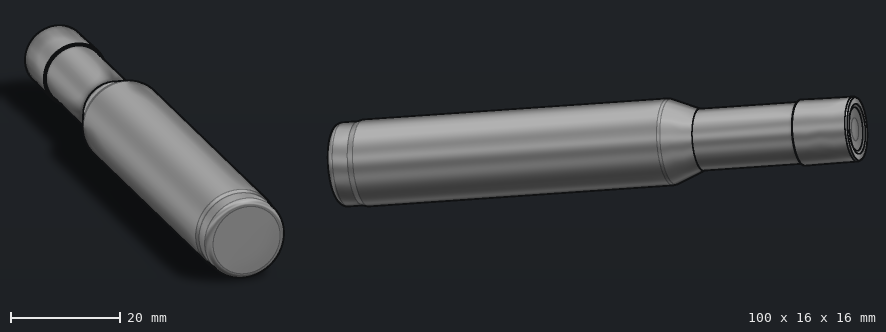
import cadquery as cq

length = 100.0
tip_x = -length / 2
head_length = 10.7
cone_start = 30.0
cone_end = 35.8
relief_start = 94.8
relief_end = 95.9

shank_diameter = 16.0
tail_diameter = 15.5
neck_diameter = 11.4
head_back_diameter = 12.2
head_front_diameter = 12.0
face_diameter = 11.6

tip_bevel_length = 0.4
back_bevel = 0.2
shoulder_fillet = 1.6
tail_fillet = 1.2

dish_mouth_diameter = 9.2
dish_rim_diameter = 8.0
dish_floor_diameter = 4.2
dish_rim_depth = 0.3
dish_depth = 0.5


def turned(stations):
    """Revolve (distance from tip, diameter) stations, from axis to axis, about X."""
    points = [(tip_x + distance, diameter / 2) for distance, diameter in stations]
    return cq.Workplane("XY").polyline(points).close().revolve(360, (0, 0, 0), (1, 0, 0))


def make_head():
    """Slightly tapered cutting head with bevelled ends and a dished face."""
    return turned([
        (dish_depth, 0),
        (dish_depth, dish_floor_diameter),
        (dish_rim_depth, dish_rim_diameter),
        (0, dish_mouth_diameter),
        (0, face_diameter),
        (tip_bevel_length, head_front_diameter),
        (head_length - back_bevel, head_back_diameter),
        (head_length, head_back_diameter - 2 * back_bevel),
        (head_length, 0),
    ])


def make_shank():
    """Neck, cone and full-diameter shank, ending in a reduced rounded tail."""
    shank = turned([
        (head_length, 0),
        (head_length, neck_diameter),
        (cone_start, neck_diameter),
        (cone_end, shank_diameter),
        (relief_start, shank_diameter),
        (relief_end, tail_diameter),
        (length, tail_diameter),
        (length, 0),
    ])
    shank = shank.faces(">X").edges().fillet(tail_fillet)
    shoulder = cq.selectors.NearestToPointSelector((tip_x + cone_end, 0, 0))
    return shank.edges(shoulder).fillet(shoulder_fillet)


head = make_head()
shank = make_shank()
result = cq.Compound.makeCompound([head.val(), shank.val()])